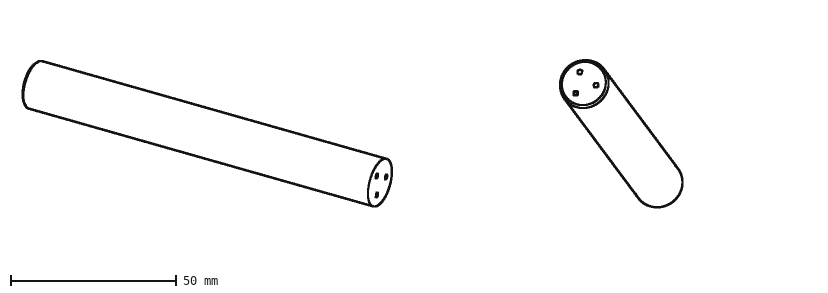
import cadquery as cq
import math

length = 120.0
diameter = 15.0
chamfer = 0.7

hole_count = 3
hole_diameter = 1.5
hole_circle_radius = 3.8
first_hole_angle = 71.0
helix_angle = 30.0
helix_pitch = math.pi * diameter / math.tan(math.radians(helix_angle))
twist = 360 * length / helix_pitch


def make_rod():
    rod = cq.Workplane("YZ").circle(diameter / 2).extrude(length)
    return rod.faces("<X").chamfer(chamfer)


def make_helical_hole(start_angle):
    angle = math.radians(start_angle)
    center_y = hole_circle_radius * math.cos(angle)
    center_z = hole_circle_radius * math.sin(angle)
    return (
        cq.Workplane("YZ")
        .moveTo(center_y, center_z)
        .circle(hole_diameter / 2)
        .twistExtrude(length, twist)
    )


result = make_rod()
for index in range(hole_count):
    result = result.cut(make_helical_hole(first_hole_angle + index * 360 / hole_count))